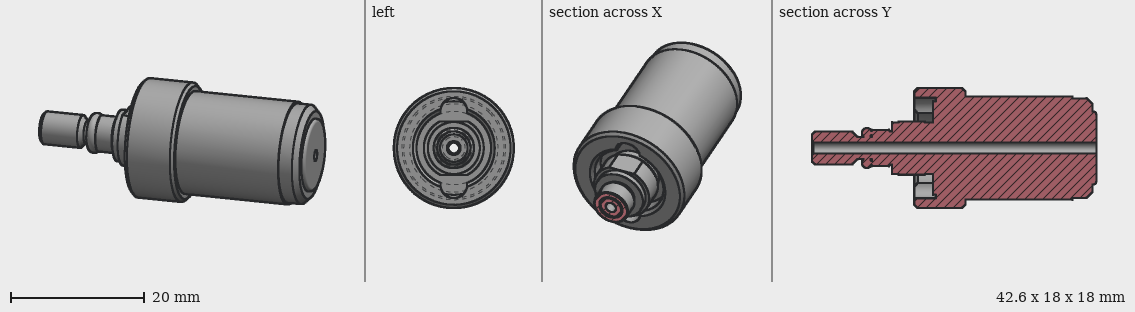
import cadquery as cq

TOTAL_LENGTH = 42.6

TIP_DIAMETER = 5.0
TIP_CHAMFER = 0.43
TIP_CONE_START = 6.05
TIP_CONE_END = 6.8
NECK_DIAMETER = 3.4

RING_DIAMETER = 6.05
RING_WIDTH = 1.55
RING_CENTER = 8.2

SHOULDER_DIAMETER = 5.5
SHOULDER_START = 8.95
SHOULDER_CHAMFER = 0.2
RELIEF_START = 11.7
RELIEF_DIAMETER = SHOULDER_DIAMETER - 2 * SHOULDER_CHAMFER

BARREL_NECK_START = 11.95
BARREL_NECK_DIAMETER = 7.8

WRENCH_START = 13.0
WRENCH_END = 16.9
WRENCH_DIAMETER = 9.0
WRENCH_CHAMFER = 0.55
WRENCH_WIDTH = 8.0

HEAD_START = 15.3
HEAD_END = 23.0
HEAD_DIAMETER = 18.0
HEAD_CHAMFER = 0.5

SLEEVE_DIAMETER = 15.5
SLEEVE_END = 39.0
REAR_DIAMETER = 15.0
REAR_END = 42.0
REAR_CHAMFER = 0.9
CAP_DIAMETER = 11.0
CAP_ROUND = 0.5

BORE_DIAMETER = 1.6
BORE_CHAMFER = 0.2

SOCKET_DIAMETER = 11.15
SOCKET_CHAMFER = 0.55
SOCKET_FLOOR = 18.1

KEYWAY_WIDTH = 4.0
KEYWAY_REACH = 7.5
KEYWAY_END = 18.52
CORE_DIAMETER = 14.0


def cylinder(diameter, start, end):
    return cq.Workplane("YZ", origin=(start, 0, 0)).circle(diameter / 2).extrude(end - start)


def cone(start_diameter, end_diameter, start, length):
    base = cq.Vector(start, 0, 0)
    axis = cq.Vector(1, 0, 0)
    return cq.Workplane(cq.Solid.makeCone(start_diameter / 2, end_diameter / 2, length, base, axis))


def make_plug():
    tip = cylinder(TIP_DIAMETER, 0, TIP_CONE_START).faces("<X").chamfer(TIP_CHAMFER)
    taper = cone(TIP_DIAMETER, NECK_DIAMETER, TIP_CONE_START, TIP_CONE_END - TIP_CONE_START)
    neck = cylinder(NECK_DIAMETER, TIP_CONE_END, SHOULDER_START)
    ring_center_radius = (RING_DIAMETER - RING_WIDTH) / 2
    ring_section = cq.Workplane("XY").moveTo(RING_CENTER, ring_center_radius).circle(RING_WIDTH / 2)
    ring = ring_section.revolve(360, (0, 0), (1, 0))
    shoulder = cylinder(SHOULDER_DIAMETER, SHOULDER_START, RELIEF_START).faces(">X").chamfer(SHOULDER_CHAMFER)
    relief = cylinder(RELIEF_DIAMETER, RELIEF_START, BARREL_NECK_START)
    return tip.union(taper).union(neck).union(ring).union(shoulder).union(relief)


def make_wrench_section():
    neck = cylinder(BARREL_NECK_DIAMETER, BARREL_NECK_START, SOCKET_FLOOR)
    barrel = cylinder(WRENCH_DIAMETER, WRENCH_START, WRENCH_END).faces(">X").chamfer(WRENCH_CHAMFER)
    flats = cq.Workplane("XY").box(2 * WRENCH_END, WRENCH_DIAMETER, WRENCH_WIDTH)
    return neck.union(barrel.intersect(flats))


def make_housing():
    head = cylinder(HEAD_DIAMETER, HEAD_START, HEAD_END).edges().chamfer(HEAD_CHAMFER)
    sleeve = cylinder(SLEEVE_DIAMETER, HEAD_END, SLEEVE_END)
    rear = cylinder(REAR_DIAMETER, SLEEVE_END, REAR_END).faces(">X").chamfer(REAR_CHAMFER)
    cap = cylinder(CAP_DIAMETER, REAR_END, TOTAL_LENGTH).faces(">X").edges().fillet(CAP_ROUND)
    return head.union(sleeve).union(rear).union(cap)


def make_keyways():
    slot = cq.Workplane("YZ", origin=(HEAD_START, 0, 0)).slot2D(2 * KEYWAY_REACH, KEYWAY_WIDTH, 90)
    core = cylinder(CORE_DIAMETER, SOCKET_FLOOR, KEYWAY_END)
    return slot.extrude(KEYWAY_END - HEAD_START).cut(core)


def make_socket():
    socket = cylinder(SOCKET_DIAMETER, HEAD_START, SOCKET_FLOOR)
    entry = cone(SOCKET_DIAMETER + 2 * SOCKET_CHAMFER, SOCKET_DIAMETER, HEAD_START, SOCKET_CHAMFER)
    return socket.union(entry).union(make_keyways())


def make_bore():
    entry = cone(BORE_DIAMETER + 2 * BORE_CHAMFER, BORE_DIAMETER, 0, BORE_CHAMFER)
    return cylinder(BORE_DIAMETER, 0, TOTAL_LENGTH).union(entry)


result = make_housing().cut(make_socket()).union(make_plug()).union(make_wrench_section()).cut(make_bore())